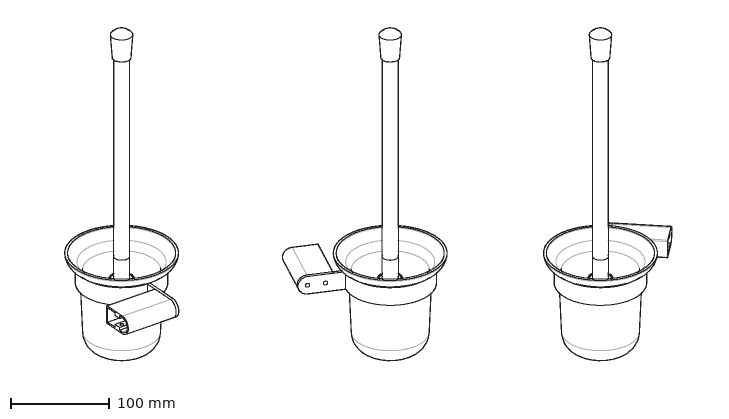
import cadquery as cq
import math


rim_radius = 57.7
rim_height = 111.5
rim_edge = 1.0
glass_wall = 3.0
floor_radius = 19.2
bottom_round = 20.0
wall_low_radius = 39.5
wall_top_radius = 42.5
flare_start = 91.8
shoulder_radius = 46.5
shoulder_height = 98.0
flare_bulge = 0.15

ring_radius = 47.0
ring_bottom = 76.5
ring_height = 20.5
ring_middle = ring_bottom + ring_height / 2
arm_thickness = 3.5
arm_front = -arm_thickness / 2
arm_end = 97.0
arm_round = ring_height / 2

sleeve_left = 59.2
sleeve_wall = 2.0
sleeve_edge_round = 1.0
sleeve_front = -61.5
sleeve_length = arm_front - sleeve_front
rib_width = 8.0
rib_center = 77.7
rib_gap = 10.5
set_hole_radius = 2.0
set_hole_depth = 5.5

screw_radius = 2.2
socket_radius = 1.0
socket_depth = 1.5
screw_places = (68.0, 87.0)

rod_radius = 8.0
brush_radius = 12.5
notch_count = 18
notch_depth = 1.5
notch_width = 2.2
notch_height = 1.0
brush_bottom = 11.0
brush_top = 82.5
stem_top = 107.3
knob_bottom = 337.5
knob_shoulder = 364.0
knob_top = 370.0
knob_low_radius = 9.5
knob_high_radius = 11.5
knob_socket = 11.0


def ring_point(center, radius, degrees):
    """Point on a circle, with the angle measured from the first axis."""
    angle = math.radians(degrees)
    return (center[0] + radius * math.cos(angle), center[1] + radius * math.sin(angle))


def bulge(start, end, share):
    """Middle point of an arc; `share` of the chord to the left of the way from start to end."""
    run = end[0] - start[0]
    rise = end[1] - start[1]
    middle = ((start[0] + end[0]) / 2, (start[1] + end[1]) / 2)
    return (middle[0] - share * rise, middle[1] + share * run)


def cup_solid(inset):
    """Solid of revolution inside the glass outline, moved in from the outside by `inset`."""
    low = (wall_low_radius - inset, bottom_round)
    corner_width = wall_low_radius - floor_radius
    corner_radius = (corner_width + bottom_round) / 2 - inset
    corner_mid = ring_point((floor_radius, bottom_round), corner_radius, -45)
    flare = (wall_top_radius - inset, flare_start)
    shoulder = (shoulder_radius - inset / 2, shoulder_height + inset)
    rim = (rim_radius - inset, rim_height - rim_edge)
    return (
        cq.Workplane("XZ")
        .moveTo(0, inset)
        .lineTo(floor_radius, inset)
        .threePointArc(corner_mid, low)
        .lineTo(*flare)
        .threePointArc(bulge(flare, shoulder, flare_bulge), shoulder)
        .threePointArc(bulge(shoulder, rim, -flare_bulge), rim)
        .lineTo(rim_radius - inset, rim_height)
        .lineTo(0, rim_height)
        .close()
        .revolve(360, (0, 0, 0), (0, 1, 0))
    )


def make_glass():
    return cup_solid(0).cut(cup_solid(glass_wall))


def tongue(left, inset, y_start, length):
    """Bar along -Y with a square left side and a half-round right side."""
    radius = arm_round - inset
    round_center = arm_end - arm_round
    return (
        cq.Workplane("XZ", origin=(0, y_start, ring_middle))
        .moveTo(left + inset, -radius)
        .lineTo(round_center, -radius)
        .threePointArc((round_center + radius, 0), (round_center, radius))
        .lineTo(left + inset, radius)
        .close()
        .extrude(length)
    )


def screw_cylinder(x, radius, length):
    """Cylinder running from the front face of the arm toward +Y."""
    return cq.Workplane("XZ", origin=(x, arm_front, ring_middle)).circle(radius).extrude(-length)


def make_screw(x):
    """Flush screw as long as the arm is thick, with a round drive socket."""
    shank = screw_cylinder(x, screw_radius, arm_thickness)
    return shank.cut(screw_cylinder(x, socket_radius, socket_depth))


def make_holder():
    """Ring that seats the glass, with its flat arm; the bore follows the glass."""
    ring = cq.Workplane("XY", origin=(0, 0, ring_bottom)).circle(ring_radius).extrude(ring_height)
    arm = tongue(0, 0, -arm_front, arm_thickness)
    holder = ring.union(arm).cut(cup_solid(0))
    for x in screw_places:
        holder = holder.cut(screw_cylinder(x, screw_radius, arm_thickness))
    return holder


def make_sleeve():
    """Open tube with a rib on its top and bottom walls and a set screw hole up through the lower rib."""
    outer = tongue(sleeve_left, 0, arm_front, sleeve_length)
    outer = outer.faces("<X").edges("|Y").fillet(sleeve_edge_round)
    inner = tongue(sleeve_left, sleeve_wall, arm_front, sleeve_length)
    rib_height = (ring_height - rib_gap) / 2
    sleeve = outer.cut(inner)
    for side in (-1, 1):
        rib_middle = ring_middle + side * (rib_gap + rib_height) / 2
        rib = (
            cq.Workplane("XZ", origin=(rib_center, arm_front, rib_middle))
            .rect(rib_width, rib_height)
            .extrude(sleeve_length)
        )
        sleeve = sleeve.union(rib)
    set_hole = (
        cq.Workplane("XY", origin=(rib_center, sleeve_front + set_hole_depth, ring_bottom))
        .circle(set_hole_radius)
        .extrude(rib_height)
    )
    return sleeve.cut(set_hole)


def make_brush():
    """Cylindrical head with a ring of small notches around its top edge."""
    length = brush_top - brush_bottom
    head = cq.Workplane("XY", origin=(0, 0, brush_bottom)).circle(brush_radius).extrude(length)
    notches = (
        cq.Workplane("XY", origin=(0, 0, brush_top))
        .polarArray(brush_radius, 0, 360, notch_count)
        .rect(2 * notch_depth, notch_width)
        .extrude(-notch_height)
    )
    return head.cut(notches)


def make_bar(bottom, top):
    """Round bar on the brush axis."""
    return cq.Workplane("XY", origin=(0, 0, bottom)).circle(rod_radius).extrude(top - bottom)


def make_knob(rod):
    """Tapered grip with a domed top, bored for the rod."""
    dome_height = knob_top - knob_shoulder
    dome_radius = (knob_high_radius**2 + dome_height**2) / (2 * dome_height)
    dome_middle = ring_point(
        (0, knob_top - dome_radius),
        dome_radius,
        90 - math.degrees(math.asin(knob_high_radius / dome_radius)) / 2,
    )
    return (
        cq.Workplane("XZ")
        .moveTo(0, knob_bottom)
        .lineTo(knob_low_radius, knob_bottom)
        .lineTo(knob_high_radius, knob_shoulder)
        .threePointArc(dome_middle, (0, knob_top))
        .close()
        .revolve(360, (0, 0, 0), (0, 1, 0))
        .cut(rod)
    )


glass = make_glass()
holder = make_holder()
sleeve = make_sleeve()
screws = [make_screw(x) for x in screw_places]
brush = make_brush()
stem = make_bar(brush_top, stem_top)
rod = make_bar(stem_top, knob_bottom + knob_socket)
knob = make_knob(rod)

result = cq.Compound.makeCompound(
    [
        glass.val(),
        holder.val(),
        sleeve.val(),
        *[screw.val() for screw in screws],
        brush.val(),
        stem.val(),
        rod.val(),
        knob.val(),
    ]
)